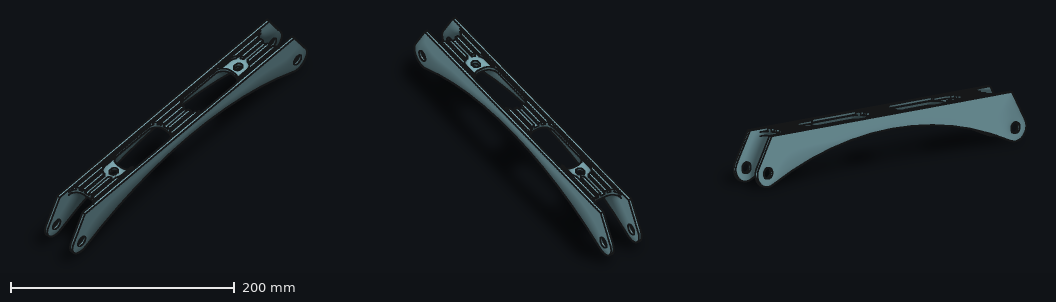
import cadquery as cq
import math

LENGTH = 314.5
WIDTH = 33.0
HEIGHT = 46.0

PLATE_THICKNESS = 3.0
LUG_RADIUS = 12.5
LUG_HOLE_DIAMETER = 10.0
TOP_EDGE_HALF_LENGTH = 140.5
ARCH_DEPTH_BELOW_TOP = 13.5

RIB_HEIGHT = 3.0
WEB_THICKNESS = 3.8
WEB_HALF_LENGTH = 119.5
WEB_END_RADIUS = 9.5

RIB_WIDTH = 2.8
RIB_CENTRES = (3.8, 9.5)

WINDOW_INNER_END = 14.0
WINDOW_OUTER_END = 75.5
WINDOW_WIDTH = 24.0
WINDOW_RADIUS = 10.0
SEAT_POSITION = 83.5
SEAT_DIAMETER = 20.0
BOLT_SLOT_LENGTH = 8.8
BOLT_SLOT_WIDTH = 7.0

lug_y = LENGTH / 2 - LUG_RADIUS
lug_z = LUG_RADIUS
arch_z = HEIGHT - ARCH_DEPTH_BELOW_TOP
floor_z = HEIGHT - RIB_HEIGHT
web_bottom_z = floor_z - WEB_THICKNESS
inner_width = WIDTH - 2 * PLATE_THICKNESS


def lug_point(angle):
    """Point on the +Y lug's outline, at an angle measured from +Y towards +Z."""
    return lug_y + LUG_RADIUS * math.cos(angle), lug_z + LUG_RADIUS * math.sin(angle)


def mirrored(point):
    return -point[0], point[1]


def side_plate(x_start):
    corner_dy = TOP_EDGE_HALF_LENGTH - lug_y
    corner_dz = HEIGHT - lug_z
    corner_angle = math.atan2(corner_dz, corner_dy)
    slope_angle = corner_angle - math.acos(LUG_RADIUS / math.hypot(corner_dy, corner_dz))

    crown_rise = arch_z - lug_z
    arch_radius = (lug_y**2 + crown_rise**2 - LUG_RADIUS**2) / (2 * (crown_rise + LUG_RADIUS))
    arch_angle = math.atan2(crown_rise - arch_radius, -lug_y)

    slope_end = lug_point(slope_angle)
    lug_middle = lug_point((slope_angle + arch_angle) / 2)
    arch_end = lug_point(arch_angle)

    return (
        cq.Workplane("YZ", origin=(x_start, 0, 0))
        .moveTo(-TOP_EDGE_HALF_LENGTH, HEIGHT)
        .lineTo(TOP_EDGE_HALF_LENGTH, HEIGHT)
        .lineTo(*slope_end)
        .threePointArc(lug_middle, arch_end)
        .threePointArc((0, arch_z), mirrored(arch_end))
        .threePointArc(mirrored(lug_middle), mirrored(slope_end))
        .close()
        .extrude(PLATE_THICKNESS)
        .pushPoints([(-lug_y, lug_z), (lug_y, lug_z)])
        .circle(LUG_HOLE_DIAMETER / 2)
        .cutThruAll()
    )


def rounded_cutter(width, y_start, y_end, radius):
    """Upright block with rounded corners that cuts through the web and its ribs."""
    return (
        cq.Workplane("XY", origin=(0, (y_start + y_end) / 2, 0))
        .rect(width, abs(y_end - y_start))
        .extrude(HEIGHT)
        .edges("|Z")
        .fillet(radius)
    )


def bar(x, width, z_bottom, thickness):
    """Flat bar along Y over the full length of the part."""
    return (
        cq.Workplane("XY", origin=(x, 0, z_bottom))
        .rect(width, LENGTH)
        .extrude(thickness)
    )


def ribbed_web():
    web = bar(0, inner_width, web_bottom_z, WEB_THICKNESS)
    for side in (-1, 1):
        for centre in RIB_CENTRES:
            web = web.union(bar(side * centre, RIB_WIDTH, floor_z, RIB_HEIGHT))

    for end in (-1, 1):
        web = web.cut(rounded_cutter(inner_width, end * WEB_HALF_LENGTH, end * LENGTH, WEB_END_RADIUS))

        seat_y = end * SEAT_POSITION
        window_middle = end * (WINDOW_INNER_END + WINDOW_OUTER_END) / 2
        seat = cq.Workplane("XY", origin=(0, seat_y, floor_z))
        web = web.cut(seat.circle(SEAT_DIAMETER / 2).extrude(RIB_HEIGHT))
        web = web.cut(
            cq.Workplane("XY", origin=(0, (seat_y + window_middle) / 2, floor_z))
            .rect(SEAT_DIAMETER, abs(seat_y - window_middle))
            .extrude(RIB_HEIGHT)
        )

        web = web.cut(seat.slot2D(BOLT_SLOT_LENGTH, BOLT_SLOT_WIDTH, 90).extrude(-WEB_THICKNESS))

        web = web.cut(
            rounded_cutter(WINDOW_WIDTH, end * WINDOW_INNER_END, end * WINDOW_OUTER_END, WINDOW_RADIUS)
        )
    return web


left_plate = side_plate(-WIDTH / 2)
right_plate = side_plate(WIDTH / 2 - PLATE_THICKNESS)
result = left_plate.union(right_plate).union(ribbed_web())